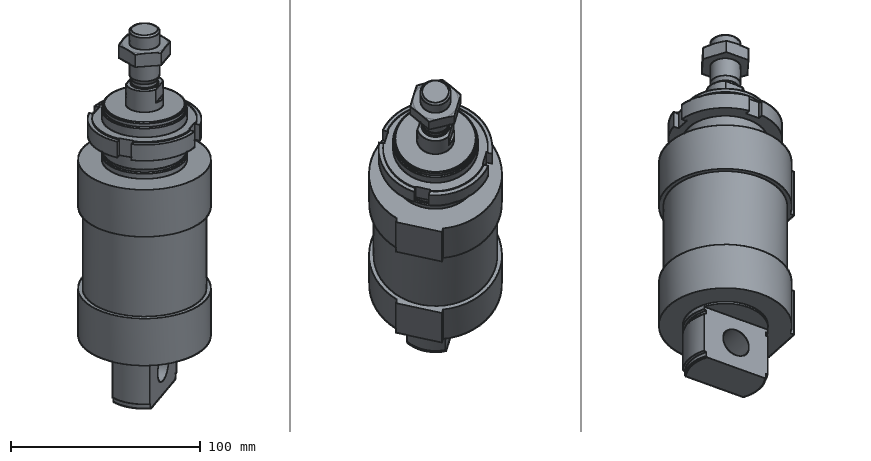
import cadquery as cq
import math

CAP_DIAMETER = 70.0
TUBE_DIAMETER = 65.3
LOWER_CAP_BOTTOM_Z = 33.0
CAP_HEIGHT = 27.8
TUBE_LENGTH = 48.5
LOWER_CAP_TOP_Z = LOWER_CAP_BOTTOM_Z + CAP_HEIGHT
UPPER_CAP_BOTTOM_Z = LOWER_CAP_TOP_Z + TUBE_LENGTH
UPPER_CAP_TOP_Z = UPPER_CAP_BOTTOM_Z + CAP_HEIGHT
PORT_PAD_WIDTH = 25.0

THREAD_DIAMETER = 45.0
THREAD_RUNOUT_HEIGHT = 0.6
STUD_TIP_CHAMFER = 0.6

NECK_TOP_Z = 170.0
NECK_RELIEF_DIAMETER = 43.5
NECK_TIP_LENGTH = 2.5
NECK_RELIEF_BOTTOM_Z = 140.0
NECK_RELIEF_WIDTH = 2.5

TANG_THICKNESS = 21.0
TANG_COLLAR_HEIGHT = 1.3
TANG_RELIEF_DIAMETER = 42.8
TANG_RELIEF_BOTTOM_Z = 27.2
TANG_RELIEF_WIDTH = 3.0
TANG_TIP_LENGTH = 3.0
TANG_HOLE_DIAMETER = 16.0
TANG_HOLE_Z = 16.0

ROD_TOP_Z = 214.2
ROD_DIAMETER = 20.0
ROD_SHOULDER_Z = 182.5
ROD_FLAT_SPACING = 17.0
ROD_FLAT_HEIGHT = 8.0
ROD_THREAD_DIAMETER = 16.0
ROD_RELIEF_DIAMETER = 14.0
ROD_RELIEF_HEIGHT = 2.5
ROD_RELIEF_FLARE = 0.54
ROD_TAPER_HEIGHT = 2.4
ROD_END_CHAMFER = 1.0

ROD_NUT_BOTTOM_Z = 198.3
ROD_NUT_HEIGHT = 7.7
ROD_NUT_ACROSS_FLATS = 24.0
ROD_NUT_CHAMFER_ANGLE = math.radians(15)

MOUNTING_NUT_BOTTOM_Z = 151.7
MOUNTING_NUT_HEIGHT = 10.0
MOUNTING_NUT_DIAMETER = 60.0
MOUNTING_NUT_FACE_DIAMETER = 55.3
MOUNTING_NUT_FACE_HEIGHT = 0.6
MOUNTING_NUT_SLOT_COUNT = 4
MOUNTING_NUT_SLOT_WIDTH = 8.0
MOUNTING_NUT_SLOT_FLOOR_SPACING = 53.3


def cylinder(diameter, bottom_z, height):
    return cq.Workplane("XY").workplane(offset=bottom_z).circle(diameter / 2).extrude(height)


def revolve_profile(points):
    """Revolve a closed (radius, z) outline about the Z axis."""
    return cq.Workplane("XZ").polyline(points).close().revolve(360, (0, 0, 0), (0, 1, 0))


def relief_groove(bottom_z, width, floor_diameter):
    """Ring to cut: a flat-bottomed groove with sloping walls."""
    inner = floor_diameter / 2
    outer = THREAD_DIAMETER / 2
    return revolve_profile([
        (outer, bottom_z),
        (inner, bottom_z + THREAD_RUNOUT_HEIGHT),
        (inner, bottom_z + width - THREAD_RUNOUT_HEIGHT),
        (outer, bottom_z + width),
    ])


def threaded_stud(base_z, end_z, tip_diameter, tip_length):
    """Threaded cylinder from base_z to end_z (up or down) that tapers to a narrower, chamfered tip."""
    direction = math.copysign(1, end_z - base_z)
    thread_radius = THREAD_DIAMETER / 2
    tip_radius = tip_diameter / 2
    return revolve_profile([
        (0, base_z),
        (thread_radius, base_z),
        (thread_radius, end_z - direction * (tip_length + THREAD_RUNOUT_HEIGHT)),
        (tip_radius, end_z - direction * tip_length),
        (tip_radius, end_z - direction * STUD_TIP_CHAMFER),
        (tip_radius - STUD_TIP_CHAMFER, end_z),
        (0, end_z),
    ])


def end_cap(bottom_z):
    """Round cap with a flat port pad on its +Y side."""
    pad_depth = CAP_DIAMETER / 2
    pad = cq.Workplane("XY").box(PORT_PAD_WIDTH, pad_depth, CAP_HEIGHT, centered=(True, False, False))
    return cylinder(CAP_DIAMETER, bottom_z, CAP_HEIGHT).union(pad.translate((0, 0, bottom_z)))


def neck():
    stud = threaded_stud(UPPER_CAP_TOP_Z, NECK_TOP_Z, NECK_RELIEF_DIAMETER, NECK_TIP_LENGTH)
    return stud.cut(relief_groove(NECK_RELIEF_BOTTOM_Z, NECK_RELIEF_WIDTH, NECK_RELIEF_DIAMETER))


def tang():
    """Round stud cut to a flat tongue, with a cross hole along X."""
    collar_bottom_z = LOWER_CAP_BOTTOM_Z - TANG_COLLAR_HEIGHT
    stud = threaded_stud(collar_bottom_z, 0, TANG_RELIEF_DIAMETER, TANG_TIP_LENGTH)
    stud = stud.cut(relief_groove(TANG_RELIEF_BOTTOM_Z, TANG_RELIEF_WIDTH, TANG_RELIEF_DIAMETER))
    slab = cq.Workplane("XY").box(
        TANG_THICKNESS, THREAD_DIAMETER, collar_bottom_z, centered=(True, True, False)
    )
    hole = (
        cq.Workplane("YZ").center(0, TANG_HOLE_Z).circle(TANG_HOLE_DIAMETER / 2)
        .extrude(TANG_THICKNESS / 2, both=True)
    )
    collar = cylinder(THREAD_DIAMETER, collar_bottom_z, TANG_COLLAR_HEIGHT)
    return stud.intersect(slab).cut(hole).union(collar)


def make_housing():
    tube = cylinder(TUBE_DIAMETER, LOWER_CAP_TOP_Z, TUBE_LENGTH)
    caps = end_cap(LOWER_CAP_BOTTOM_Z).union(end_cap(UPPER_CAP_BOTTOM_Z))
    return caps.union(tube).union(neck()).union(tang())


def make_rod():
    """Rod standing on the neck, with wrench flats and a threaded end above a relief."""
    thread_radius = ROD_THREAD_DIAMETER / 2
    relief_radius = ROD_RELIEF_DIAMETER / 2
    relief_top_z = ROD_SHOULDER_Z + ROD_RELIEF_HEIGHT
    threaded_end = revolve_profile([
        (0, ROD_SHOULDER_Z),
        (relief_radius + ROD_RELIEF_FLARE, ROD_SHOULDER_Z),
        (relief_radius, ROD_SHOULDER_Z + ROD_RELIEF_FLARE),
        (relief_radius, relief_top_z),
        (thread_radius, relief_top_z + ROD_TAPER_HEIGHT),
        (thread_radius, ROD_TOP_Z - ROD_END_CHAMFER),
        (thread_radius - ROD_END_CHAMFER, ROD_TOP_Z),
        (0, ROD_TOP_Z),
    ])
    shank = cylinder(ROD_DIAMETER, NECK_TOP_Z, ROD_SHOULDER_Z - NECK_TOP_Z)
    flat_bottom_z = ROD_SHOULDER_Z - ROD_FLAT_HEIGHT
    for side in (-1, 1):
        flat_cut = cq.Workplane("XY").box(
            ROD_DIAMETER, ROD_DIAMETER, ROD_FLAT_HEIGHT, centered=(True, True, False)
        )
        flat_x = side * (ROD_FLAT_SPACING + ROD_DIAMETER) / 2
        shank = shank.cut(flat_cut.translate((flat_x, 0, flat_bottom_z)))
    return shank.union(threaded_end)


def make_rod_nut():
    """Hexagon with corners on +Y and -Y, chamfered on top down to its inscribed circle."""
    across_corners = ROD_NUT_ACROSS_FLATS / math.cos(math.pi / 6)
    inscribed_radius = ROD_NUT_ACROSS_FLATS / 2
    corner_radius = across_corners / 2
    chamfer_drop = (corner_radius - inscribed_radius) * math.tan(ROD_NUT_CHAMFER_ANGLE)
    top_z = ROD_NUT_BOTTOM_Z + ROD_NUT_HEIGHT
    hexagon = (
        cq.Workplane("XY").workplane(offset=ROD_NUT_BOTTOM_Z)
        .transformed(rotate=(0, 0, 90)).polygon(6, across_corners).extrude(ROD_NUT_HEIGHT)
    )
    envelope = revolve_profile([
        (0, ROD_NUT_BOTTOM_Z),
        (corner_radius, ROD_NUT_BOTTOM_Z),
        (corner_radius, top_z - chamfer_drop),
        (inscribed_radius, top_z),
        (0, top_z),
    ])
    bore = cylinder(ROD_THREAD_DIAMETER, ROD_NUT_BOTTOM_Z, ROD_NUT_HEIGHT)
    return hexagon.intersect(envelope).cut(bore)


def make_mounting_nut():
    """Ring with a raised top face and four wrench slots in its rim."""
    outer_radius = MOUNTING_NUT_DIAMETER / 2
    inner_radius = THREAD_DIAMETER / 2
    top_z = MOUNTING_NUT_BOTTOM_Z + MOUNTING_NUT_HEIGHT
    face_radius = MOUNTING_NUT_FACE_DIAMETER / 2
    rim_top_z = top_z - MOUNTING_NUT_FACE_HEIGHT
    nut = revolve_profile([
        (inner_radius, MOUNTING_NUT_BOTTOM_Z),
        (outer_radius, MOUNTING_NUT_BOTTOM_Z),
        (outer_radius, rim_top_z),
        (face_radius, rim_top_z),
        (face_radius, top_z),
        (inner_radius, top_z),
    ])
    slot_floor = MOUNTING_NUT_SLOT_FLOOR_SPACING / 2
    slot = (
        cq.Workplane("XY")
        .box(outer_radius - slot_floor, MOUNTING_NUT_SLOT_WIDTH, MOUNTING_NUT_HEIGHT,
             centered=(False, True, False))
        .translate((slot_floor, 0, MOUNTING_NUT_BOTTOM_Z))
    )
    for index in range(MOUNTING_NUT_SLOT_COUNT):
        nut = nut.cut(slot.rotate((0, 0, 0), (0, 0, 1), index * 360 / MOUNTING_NUT_SLOT_COUNT))
    return nut


housing = make_housing()
rod = make_rod()
rod_nut = make_rod_nut()
mounting_nut = make_mounting_nut()
result = cq.Compound.makeCompound([housing.val(), rod.val(), rod_nut.val(), mounting_nut.val()])